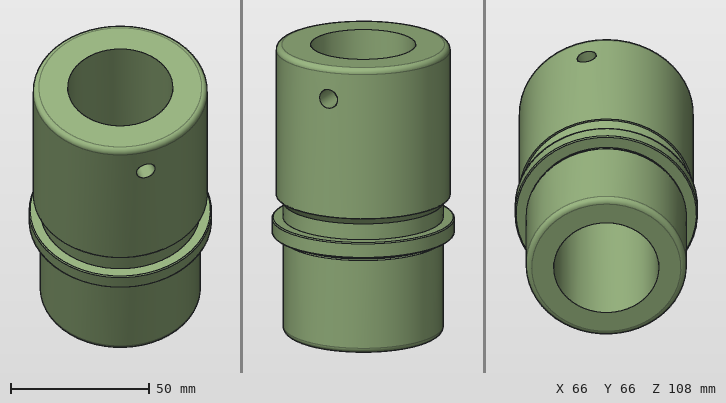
import cadquery as cq

height = 108
bore_diameter = 38.0

body_radius = 63.0 / 2
body_bottom = 51.5
cone_bottom = 48.9
cone_top_radius = 30.9

shank_radius = 58.0 / 2
shank_top = 35.5
shank_chamfer = 0.4
neck_radius = 28.3

flange_radius = 66.0 / 2
flange_bottom = 37.0
flange_top = 43.0
flange_chamfer = 0.4

end_fillet = 2.0
hole_diameter = 7.0
hole_depth_from_top = 12.0


def cylinder(radius, bottom, top):
    """Solid cylinder on the Z axis between two heights."""
    return cq.Workplane("XY").workplane(offset=bottom).circle(radius).extrude(top - bottom)


def make_body():
    """Upper cylinder with its rounded top edge."""
    return cylinder(body_radius, body_bottom, height).faces(">Z").edges().fillet(end_fillet)


def make_relief_cone():
    """Cone narrowing from the body down to the shank diameter."""
    return (
        cq.Workplane("XZ")
        .moveTo(0, cone_bottom)
        .lineTo(shank_radius, cone_bottom)
        .lineTo(cone_top_radius, body_bottom)
        .lineTo(0, body_bottom)
        .close()
        .revolve(360, (0, 0, 0), (0, 1, 0))
    )


def make_flange():
    """Collar with both outer edges chamfered."""
    return cylinder(flange_radius, flange_bottom, flange_top).edges().chamfer(flange_chamfer)


def make_shank():
    """Lower cylinder with a rounded bottom edge and a chamfered top edge."""
    shank = cylinder(shank_radius, 0, shank_top)
    shank = shank.faces("<Z").edges().fillet(end_fillet)
    return shank.faces(">Z").edges().chamfer(shank_chamfer)


def make_radial_hole():
    """Hole through the +X wall, running from the bore axis outward."""
    return (
        cq.Workplane("YZ")
        .center(0, height - hole_depth_from_top)
        .circle(hole_diameter / 2)
        .extrude(flange_radius)
    )


neck = cylinder(neck_radius, shank_top, flange_bottom)
seat = cylinder(shank_radius, flange_top, cone_bottom)
bore = cylinder(bore_diameter / 2, 0, height)

result = (
    make_shank()
    .union(neck)
    .union(make_flange())
    .union(seat)
    .union(make_relief_cone())
    .union(make_body())
    .cut(bore)
    .cut(make_radial_hole())
)